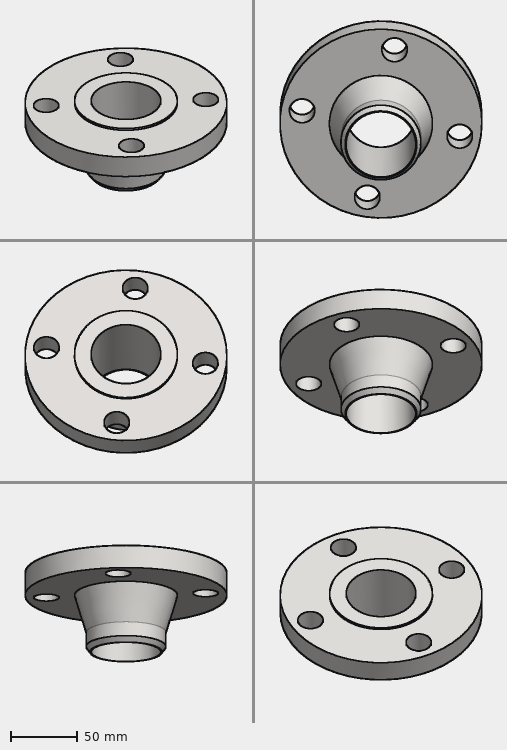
import cadquery as cq

total_height = 63.5
flange_diameter = 152.4
flange_thickness = 17.5
raised_face_diameter = 77.7
raised_face_height = 1.7
hub_base_diameter = 77.7
pipe_diameter = 60.4
bore_diameter = 52.6
pipe_length = 15.2
bevel_height = 4.1
bevel_end_diameter = 54.1
bolt_circle_diameter = 120.7
bolt_hole_diameter = 19.0
bolt_count = 4

flange_top = total_height - raised_face_height
flange_bottom = flange_top - flange_thickness


def revolved_body():
    """Flange, raised face, tapered hub and bevelled pipe end around the bore."""
    bore_radius = bore_diameter / 2
    profile = [
        (bore_radius, 0),
        (bevel_end_diameter / 2, 0),
        (pipe_diameter / 2, bevel_height),
        (pipe_diameter / 2, pipe_length),
        (hub_base_diameter / 2, flange_bottom),
        (flange_diameter / 2, flange_bottom),
        (flange_diameter / 2, flange_top),
        (raised_face_diameter / 2, flange_top),
        (raised_face_diameter / 2, total_height),
        (bore_radius, total_height),
    ]
    return cq.Workplane("XZ").polyline(profile).close().revolve(360, (0, 0), (0, 1))


def bolt_holes():
    """Through-hole cutters, placed midway between the X and Y axes."""
    first_angle = 180 / bolt_count
    return (
        cq.Workplane("XY")
        .workplane(offset=flange_bottom)
        .polarArray(bolt_circle_diameter / 2, first_angle, 360, bolt_count)
        .circle(bolt_hole_diameter / 2)
        .extrude(flange_thickness)
    )


result = revolved_body().cut(bolt_holes())